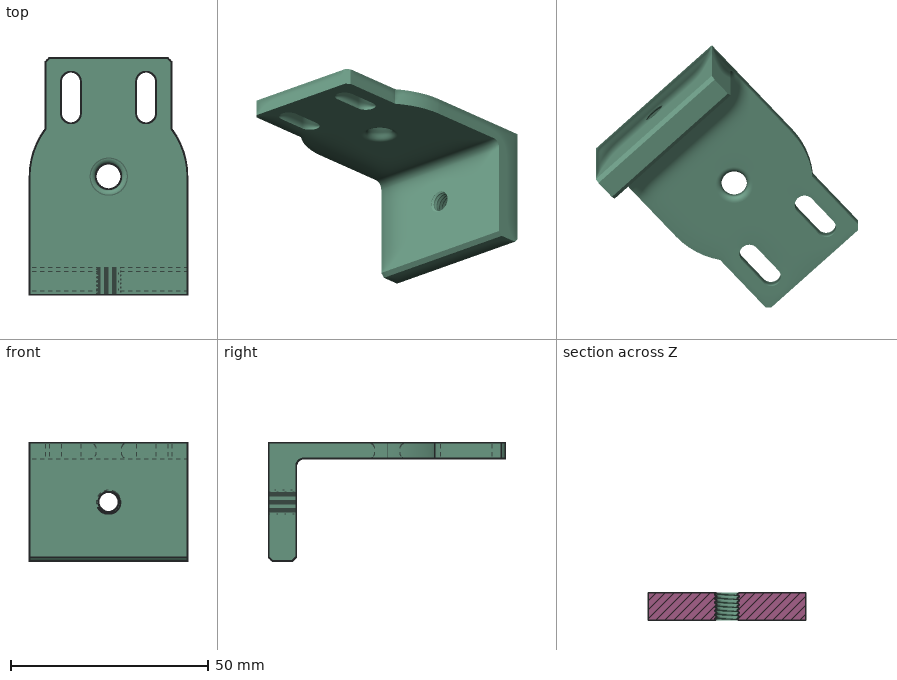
import cadquery as cq
import math

length = 60.0
width = 40.0
height = 30.0
plate_thickness = 4.0
flange_thickness = 7.0
inner_fillet = 2.0
edge_chamfer = 1.0

tongue_width = 32.0
shoulder_radius = width / 2
shoulder_start = length / 2

slot_spacing = 19.0
slot_length = 13.0
slot_width = 5.0
slot_center_y = length - 10.0

plate_hole_diameter = 6.4
plate_hole_rounding = 1.5

thread_minor_diameter = 5.05
thread_major_diameter = 6.1
thread_pitch = 1.0
thread_root_flat = thread_pitch / 8
thread_start_angle = 40.0
thread_flank_angle = 30.0
thread_overlap = 0.1
thread_center_z = -height / 2


def make_body():
    """L-shaped section with the top face at Z = 0 and the front face at Y = 0."""
    section = (
        cq.Workplane("YZ")
        .polyline([
            (0, 0),
            (length, 0),
            (length, -plate_thickness),
            (flange_thickness, -plate_thickness),
            (flange_thickness, -height),
            (0, -height),
        ])
        .close()
        .extrude(width / 2, both=True)
    )
    corner = cq.selectors.NearestToPointSelector((0, flange_thickness, -plate_thickness))
    filleted = section.edges("|X").edges(corner).fillet(inner_fillet)
    return filleted.faces("<Z").edges("|X").chamfer(edge_chamfer)


def make_plan_outline():
    """Solid with the plan shape: full-width body, round shoulders and narrower tongue."""
    half_width = width / 2
    half_tongue = tongue_width / 2
    shoulder_end = shoulder_start + math.sqrt(shoulder_radius**2 - half_tongue**2)
    mid_angle = math.atan2(shoulder_end - shoulder_start, half_tongue) / 2
    mid_x = shoulder_radius * math.cos(mid_angle)
    mid_y = shoulder_start + shoulder_radius * math.sin(mid_angle)
    return (
        cq.Workplane("XY")
        .moveTo(-half_width, 0)
        .lineTo(half_width, 0)
        .lineTo(half_width, shoulder_start)
        .threePointArc((mid_x, mid_y), (half_tongue, shoulder_end))
        .lineTo(half_tongue, length)
        .lineTo(-half_tongue, length)
        .lineTo(-half_tongue, shoulder_end)
        .threePointArc((-mid_x, mid_y), (-half_width, shoulder_start))
        .close()
        .extrude(-height)
        .edges("|Z and >Y")
        .chamfer(edge_chamfer)
    )


def make_slots():
    return (
        cq.Workplane("XY")
        .pushPoints([(side * slot_spacing / 2, slot_center_y) for side in (-1, 1)])
        .slot2D(slot_length, slot_width, 90)
        .extrude(-plate_thickness)
    )


def make_plate_hole():
    """Revolved cutter that leaves a rounded edge on both faces of the plate."""
    hole_radius = plate_hole_diameter / 2
    mouth_radius = hole_radius + plate_hole_rounding
    arc_offset = plate_hole_rounding * (1 - math.cos(math.radians(45)))
    return (
        cq.Workplane("XZ", origin=(0, length / 2, 0))
        .lineTo(mouth_radius, 0)
        .threePointArc((hole_radius + arc_offset, -arc_offset), (hole_radius, -plate_hole_rounding))
        .lineTo(hole_radius, plate_hole_rounding - plate_thickness)
        .threePointArc(
            (hole_radius + arc_offset, arc_offset - plate_thickness),
            (mouth_radius, -plate_thickness),
        )
        .lineTo(0, -plate_thickness)
        .close()
        .revolve(360, (0, 0, 0), (0, 1, 0))
    )


def place_in_flange(cutter):
    """Turn a cutter built along Z so that it enters the flange from its front face."""
    return cutter.rotate((0, 0, 0), (1, 0, 0), -90).translate((0, 0, thread_center_z))


def make_thread_groove():
    """Right-handed helical groove that runs out through both flange faces."""
    root_radius = thread_major_diameter / 2
    inner_radius = thread_minor_diameter / 2 - thread_overlap
    half_root = thread_root_flat / 2
    half_mouth = half_root + (root_radius - inner_radius) * math.tan(math.radians(thread_flank_angle))
    helix = cq.Wire.makeHelix(thread_pitch, flange_thickness + 2 * thread_pitch, inner_radius)
    return (
        cq.Workplane("XZ")
        .polyline([
            (inner_radius, -half_mouth),
            (root_radius, -half_root),
            (root_radius, half_root),
            (inner_radius, half_mouth),
        ])
        .close()
        .sweep(cq.Workplane(obj=helix), isFrenet=True)
        .rotate((0, 0, 0), (0, 0, 1), thread_start_angle)
        .translate((0, 0, -thread_pitch))
    )


tap_hole = cq.Workplane("XY").circle(thread_minor_diameter / 2).extrude(flange_thickness)

result = (
    make_body()
    .intersect(make_plan_outline())
    .cut(make_slots())
    .cut(make_plate_hole())
    .cut(place_in_flange(make_thread_groove()))
    .cut(place_in_flange(tap_hole))
)